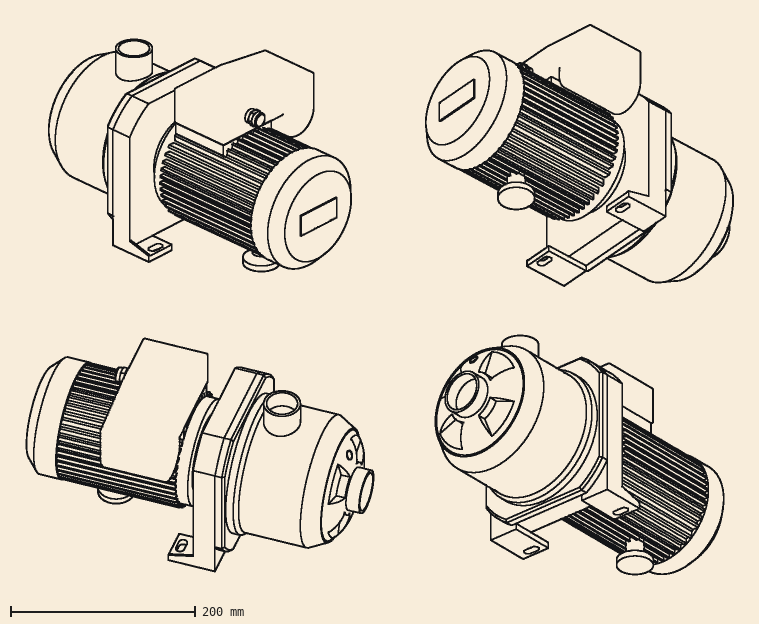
import cadquery as cq
import math

OVERALL_LENGTH = 374.0

SUCTION_DIA = 48.3
SUCTION_BORE_DIA = 42.3
SUCTION_LENGTH = 15.0
DOME_INNER_RADIUS = 29.5
DOME_OUTER_RADIUS = 62.0
DOME_DEPTH = 15.0
DOME_RIM_RADIUS = 64.0
BARREL_DIA = 149.0
BARREL_START = 49.8
BARREL_END = 121.0
COLLAR_DIA = 156.5
COLLAR_START = 125.7
RIB_HALF_ANGLE = 22.0
POCKET_DEPTH = 10.0
DISCHARGE_X = 97.0
DISCHARGE_TOP = 102.0
DISCHARGE_DIA = 40.0
DISCHARGE_BORE_DIA = 33.5
DISCHARGE_BORE_DEPTH = 20.0

PLUG_DIA = 10.0
PLUG_RADIAL_PLACE = 49.0
PLUG_DEPTH = 3.7
PLUG_STAND_OUT = 0.7

FLANGE_START = 134.3
FLANGE_WIDTH = 167.0
CORNER_RADIUS = 99.0
FLANGE_CHAMFER = 2.5
BRACKET_START = 144.8
BRACKET_END = 170.0
GROUND_Z = -90.5
FOOT_END = 198.5
FOOT_INNER_Y = 47.0
FOOT_PAD_THICKNESS = 7.0
WEB_THICKNESS = 2.2
WEB_ROOT_HEIGHT = 15.0
WEB_TIP_HEIGHT = 7.5
SLOT_X = 190.0
SLOT_Y = 64.0
SLOT_WIDTH = 9.5
SLOT_LENGTH = 18.7

NECK_DIA = 91.0
CORE_DIA = 120.0
CORE_START = 184.5
FIN_START = 197.5
FIN_END = 334.0
SIDE_FIN_TIP_DIA = 130.0
UPRIGHT_FIN_TIP_DIA = 128.7
FIN_THICKNESS = 2.2
FINS_EACH_SIDE = 5
FIN_ROW_SPAN = 80.8
FIN_PITCH = FIN_ROW_SPAN / (2 * FINS_EACH_SIDE)

COVER_DIA = 131.0
COVER_TAPER_START = 359.5
BADGE_WIDTH = 56.0
BADGE_HEIGHT = 24.7
BADGE_THICKNESS = 1.5
COVER_END = OVERALL_LENGTH - BADGE_THICKNESS
COVER_END_RADIUS = 52.5

BOX_START = 196.5
BOX_LENGTH = 74.5
BOX_NEAR_Y = -42.0
BOX_FAR_Y = 101.8
BOX_RIDGE_Y = 30.3
BOX_TOP = 108.5
BOX_FAR_TOP = 98.0
BOX_BOTTOM = 64.7
POUCH_RADIUS = 25.8
POUCH_CENTRE_Z = 55.5
BOX_FILLET = 2.2
BASE_INSET = 2.2
BASE_FAR_Y = 36.0
BASE_BURIED_Z = 37.5

GLAND_DIA = 16.0
GLAND_Z = 86.0
GLAND_COLLAR_LENGTH = 5.2
GLAND_NUT_LENGTH = 5.0
GLAND_CAP_LENGTH = 5.5
GLAND_CHAMFER = 1.0

SUPPORT_X = 287.5
SUPPORT_STEM_DIA = 20.0
SUPPORT_DISC_DIA = 40.0
SUPPORT_DISC_HEIGHT = 7.0
SUPPORT_CONE_HEIGHT = 6.0
SUPPORT_STEM_TOP = -56.0

DOME_RISE = DOME_OUTER_RADIUS - DOME_INNER_RADIUS
DOME_ARC_RADIUS = (DOME_DEPTH**2 + DOME_RISE**2) / (2 * DOME_DEPTH)
DOME_ARC_X = SUCTION_LENGTH + DOME_ARC_RADIUS


def dome_x(radius):
    """X of the dome surface at a distance from the pump axis."""
    return DOME_ARC_X - math.sqrt(DOME_ARC_RADIUS**2 - (radius - DOME_INNER_RADIUS) ** 2)


def x_cylinder(diameter, start, end):
    """Cylinder on the pump axis between two X places."""
    return cq.Workplane("YZ").workplane(offset=start).circle(diameter / 2).extrude(end - start)


def block(x_range, y_range, z_range):
    """Box given by its limits along each axis."""
    (x0, x1), (y0, y1), (z0, z1) = x_range, y_range, z_range
    return cq.Workplane("XY").box(x1 - x0, y1 - y0, z1 - z0, centered=False).translate((x0, y0, z0))


def make_plug():
    height_on_arc = PLUG_RADIAL_PLACE - DOME_INNER_RADIUS
    surface_x = dome_x(PLUG_RADIAL_PLACE)
    outward = cq.Vector(surface_x - DOME_ARC_X, 0, height_on_arc).normalized()
    inner_end = cq.Vector(surface_x, 0, PLUG_RADIAL_PLACE) - outward * PLUG_DEPTH
    length = PLUG_DEPTH + PLUG_STAND_OUT
    return cq.Workplane(cq.Solid.makeCylinder(PLUG_DIA / 2, length, inner_end, outward))


def make_dome_pockets():
    """Four sector pockets between the ribs of the dome, all with a flat floor."""
    sweep = 90 - 2 * RIB_HALF_ANGLE
    pocket = (
        cq.Workplane("XY")
        .moveTo(SUCTION_LENGTH, DOME_INNER_RADIUS)
        .lineTo(SUCTION_LENGTH + POCKET_DEPTH, DOME_INNER_RADIUS)
        .lineTo(SUCTION_LENGTH + POCKET_DEPTH, DOME_RIM_RADIUS)
        .lineTo(SUCTION_LENGTH, DOME_RIM_RADIUS)
        .close()
        .revolve(sweep, (0, 0, 0), (1, 0, 0))
    )
    return [
        pocket.rotate((0, 0, 0), (1, 0, 0), RIB_HALF_ANGLE + 90 * quarter) for quarter in range(4)
    ]


def make_casing(plug):
    dome_end = SUCTION_LENGTH + DOME_DEPTH
    arc_middle_radius = DOME_INNER_RADIUS + DOME_RISE / 2
    casing = (
        cq.Workplane("XY")
        .moveTo(0, 0)
        .lineTo(0, SUCTION_DIA / 2)
        .lineTo(SUCTION_LENGTH, SUCTION_DIA / 2)
        .lineTo(SUCTION_LENGTH, DOME_INNER_RADIUS)
        .threePointArc((dome_x(arc_middle_radius), arc_middle_radius), (dome_end, DOME_OUTER_RADIUS))
        .lineTo(dome_end, DOME_RIM_RADIUS)
        .lineTo(BARREL_START, BARREL_DIA / 2)
        .lineTo(BARREL_END, BARREL_DIA / 2)
        .lineTo(COLLAR_START, COLLAR_DIA / 2)
        .lineTo(FLANGE_START, COLLAR_DIA / 2)
        .lineTo(FLANGE_START, 0)
        .close()
        .revolve(360, (0, 0, 0), (1, 0, 0))
    )
    for pocket in make_dome_pockets():
        casing = casing.cut(pocket)

    port = cq.Workplane("XY").center(DISCHARGE_X, 0).circle(DISCHARGE_DIA / 2).extrude(DISCHARGE_TOP)
    discharge_bore = (
        cq.Workplane("XY", origin=(DISCHARGE_X, 0, DISCHARGE_TOP))
        .circle(DISCHARGE_BORE_DIA / 2)
        .extrude(-DISCHARGE_BORE_DEPTH)
    )
    suction_bore = x_cylinder(SUCTION_BORE_DIA, 0, SUCTION_LENGTH)
    return casing.union(port).cut(discharge_bore).cut(suction_bore).cut(plug)


def rounded_square(start, end):
    """Square plate whose corners follow a circle about the pump axis."""
    half = FLANGE_WIDTH / 2
    square = block((start, end), (-half, half), (-half, half))
    return square.intersect(x_cylinder(2 * CORNER_RADIUS, start, end))


def make_flange():
    return rounded_square(FLANGE_START, BRACKET_START).faces("<X").chamfer(FLANGE_CHAMFER)


def make_bracket_foot():
    """Slotted pad on the +Y side with a sloping web along its outer edge."""
    outer_y = FLANGE_WIDTH / 2
    pad_top = GROUND_Z + FOOT_PAD_THICKNESS
    leg = block((BRACKET_START, BRACKET_END), (FOOT_INNER_Y, outer_y), (GROUND_Z, 0))
    pad = block((BRACKET_START, FOOT_END), (FOOT_INNER_Y, outer_y), (GROUND_Z, pad_top))
    web = (
        cq.Workplane("XZ", origin=(0, outer_y, 0))
        .moveTo(BRACKET_START, GROUND_Z)
        .lineTo(FOOT_END, GROUND_Z)
        .lineTo(FOOT_END, GROUND_Z + WEB_TIP_HEIGHT)
        .lineTo(BRACKET_END, GROUND_Z + WEB_ROOT_HEIGHT)
        .lineTo(BRACKET_START, GROUND_Z + WEB_ROOT_HEIGHT)
        .close()
        .extrude(WEB_THICKNESS)
    )
    slot = (
        cq.Workplane("XY", origin=(SLOT_X, SLOT_Y, GROUND_Z))
        .slot2D(SLOT_LENGTH, SLOT_WIDTH, 90)
        .extrude(FOOT_PAD_THICKNESS)
    )
    return leg.union(pad).union(web).cut(slot)


def make_bracket():
    foot = make_bracket_foot()
    plate = rounded_square(BRACKET_START, BRACKET_END)
    return plate.union(foot).union(foot.mirror("XZ")).clean()


def make_fins(tip_diameter):
    """Row of parallel level fins through the motor axis, trimmed to a cylinder."""
    reach = tip_diameter / 2
    fins = cq.Workplane("XY")
    for step in range(-FINS_EACH_SIDE, FINS_EACH_SIDE + 1):
        low = step * FIN_PITCH - FIN_THICKNESS / 2
        fin = block((FIN_START, FIN_END), (-reach, reach), (low, low + FIN_THICKNESS))
        fins = fins.add(fin.intersect(x_cylinder(tip_diameter, FIN_START, FIN_END)))
    return fins


def make_motor():
    """Motor core with its neck, level fins at the sides and upright fins above and below."""
    core = x_cylinder(CORE_DIA, CORE_START, FIN_END)
    neck = x_cylinder(NECK_DIA, BRACKET_END, CORE_START)
    motor = core.union(neck)
    for fin in make_fins(SIDE_FIN_TIP_DIA).vals():
        motor = motor.union(fin)
    for fin in make_fins(UPRIGHT_FIN_TIP_DIA).vals():
        motor = motor.union(fin.rotate(cq.Vector(0, 0, 0), cq.Vector(1, 0, 0), 90))
    return motor


def make_fan_cover():
    shell = (
        cq.Workplane("XY")
        .moveTo(FIN_END, 0)
        .lineTo(FIN_END, COVER_DIA / 2)
        .lineTo(COVER_TAPER_START, COVER_DIA / 2)
        .lineTo(COVER_END, COVER_END_RADIUS)
        .lineTo(COVER_END, 0)
        .close()
        .revolve(360, (0, 0, 0), (1, 0, 0))
    )
    badge = (
        cq.Workplane("YZ")
        .workplane(offset=COVER_END)
        .rect(BADGE_WIDTH, BADGE_HEIGHT)
        .extrude(BADGE_THICKNESS)
    )
    return shell.union(badge)


def make_terminal_box():
    """Box with a ridged lid and a round-bottomed pouch hanging beside the motor."""
    pouch_y = BOX_FAR_Y - POUCH_RADIUS
    pouch_inner_y = BOX_FAR_Y - 2 * POUCH_RADIUS
    box = (
        cq.Workplane("YZ")
        .workplane(offset=BOX_START)
        .moveTo(BOX_NEAR_Y, BOX_BOTTOM)
        .lineTo(BOX_NEAR_Y, BOX_TOP)
        .lineTo(BOX_RIDGE_Y, BOX_TOP)
        .lineTo(BOX_FAR_Y, BOX_FAR_TOP)
        .lineTo(BOX_FAR_Y, POUCH_CENTRE_Z)
        .threePointArc((pouch_y, POUCH_CENTRE_Z - POUCH_RADIUS), (pouch_inner_y, POUCH_CENTRE_Z))
        .lineTo(pouch_inner_y, BOX_BOTTOM)
        .close()
        .extrude(BOX_LENGTH)
    )
    near_face_edges = box.faces("<Y").edges("|X")
    far_top_edge = box.faces(">Y").edges("|X").edges(">Z")
    corner_edges = near_face_edges.vals() + far_top_edge.vals()
    rounded = box.newObject(corner_edges).fillet(BOX_FILLET)
    return rounded.faces("<X or >X").edges().fillet(BOX_FILLET)


def make_box_base(motor):
    """Block under the terminal box, shaped below to sit on the finned motor."""
    blank = block(
        (FIN_START, BOX_START + BOX_LENGTH - BASE_INSET),
        (BOX_NEAR_Y + BASE_INSET, BASE_FAR_Y),
        (BASE_BURIED_Z, BOX_BOTTOM),
    )
    return blank.cut(motor)


def make_gland():
    collar_start = BOX_START + BOX_LENGTH
    nut_start = collar_start + GLAND_COLLAR_LENGTH
    length = GLAND_COLLAR_LENGTH + GLAND_NUT_LENGTH + GLAND_CAP_LENGTH
    body = x_cylinder(GLAND_DIA, collar_start, collar_start + length).faces(">X").chamfer(GLAND_CHAMFER)
    across_corners = GLAND_DIA / math.cos(math.pi / 6)
    nut = cq.Workplane("YZ").workplane(offset=nut_start).polygon(6, across_corners)
    return body.union(nut.extrude(GLAND_NUT_LENGTH)).translate((0, 0, GLAND_Z))


def make_support_foot(motor):
    """Round levelling foot whose stem fits the underside of the finned motor."""
    disc_top = GROUND_Z + SUPPORT_DISC_HEIGHT
    foot = (
        cq.Workplane("XZ")
        .moveTo(0, GROUND_Z)
        .lineTo(SUPPORT_DISC_DIA / 2, GROUND_Z)
        .lineTo(SUPPORT_DISC_DIA / 2, disc_top)
        .lineTo(SUPPORT_STEM_DIA / 2, disc_top + SUPPORT_CONE_HEIGHT)
        .lineTo(SUPPORT_STEM_DIA / 2, SUPPORT_STEM_TOP)
        .lineTo(0, SUPPORT_STEM_TOP)
        .close()
        .revolve(360, (0, 0, 0), (0, 1, 0))
        .translate((SUPPORT_X, 0, 0))
    )
    return foot.cut(motor)


plug = make_plug()
casing = make_casing(plug)
flange = make_flange()
bracket = make_bracket()
motor = make_motor()
fan_cover = make_fan_cover()
terminal_box = make_terminal_box()
box_base = make_box_base(motor)
gland = make_gland()
support_foot = make_support_foot(motor)

bodies = [
    plug,
    casing,
    flange,
    bracket,
    motor,
    fan_cover,
    terminal_box,
    box_base,
    gland,
    support_foot,
]
result = cq.Compound.makeCompound([body.val() for body in bodies])